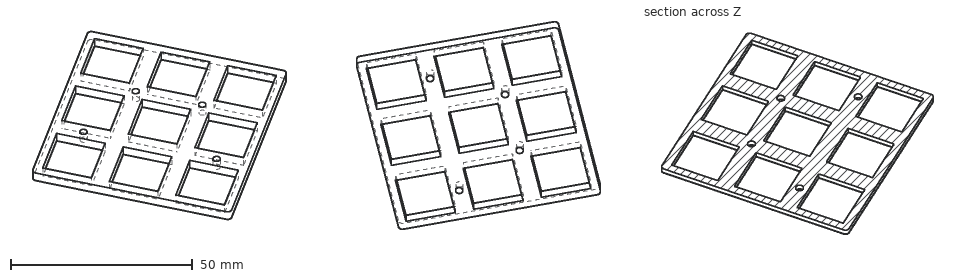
import cadquery as cq

plate_side = 56.85
plate_thickness = 3.0
corner_radius = 1.15

grid_count = 3
grid_pitch = 19.05
opening_side = 13.85

hole_diameter = 2.0
rib_offset = grid_pitch / 2
hole_centres = [
    (-rib_offset, rib_offset),
    (rib_offset, rib_offset),
    (-grid_pitch, -rib_offset),
    (grid_pitch, -rib_offset),
]


def make_plate():
    """Flat square plate with rounded vertical corners."""
    plate = cq.Workplane("XY").box(
        plate_side, plate_side, plate_thickness, centered=(True, True, False)
    )
    return plate.edges("|Z").fillet(corner_radius)


def cut_openings(plate):
    """Cut the grid of square openings through the plate."""
    return (
        plate.faces(">Z").workplane()
        .rarray(grid_pitch, grid_pitch, grid_count, grid_count)
        .rect(opening_side, opening_side)
        .cutThruAll()
    )


def drill_holes(plate):
    """Drill the round holes through the ribs."""
    return plate.faces(">Z").workplane().pushPoints(hole_centres).hole(hole_diameter)


result = drill_holes(cut_openings(make_plate()))